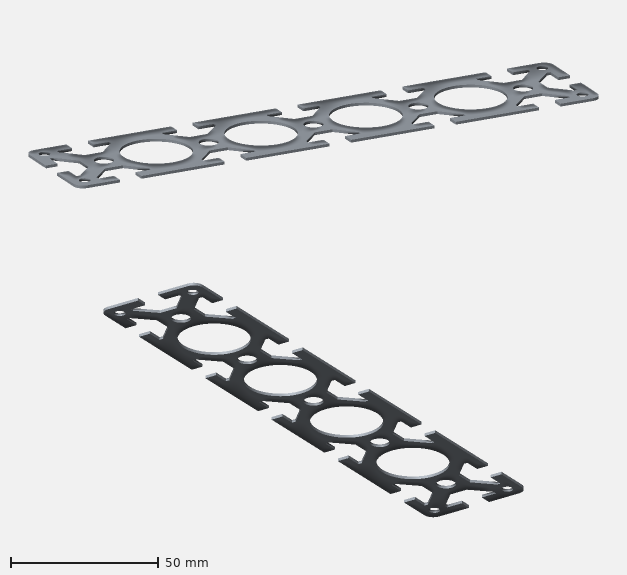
import cadquery as cq

cell = 40.0
cell_count = 5
width = cell
length = cell * cell_count
thickness = 1.0
corner_radius = 3.5

mouth_width = 8.2
lip_thickness = 4.5
chamber_width = 20.0
chamber_wall_depth = 1.5
slot_depth = 12.5
taper_depth = slot_depth - lip_thickness - chamber_wall_depth
floor_width = chamber_width - 2 * taper_depth

core_hole_diameter = 6.8
window_diameter = 25.0
corner_hole_diameter = 4.0
corner_hole_inset = 5.0


def centered_row(count):
    """Points spaced one cell apart along Y, centred on the origin."""
    return [(0, (i - (count - 1) / 2) * cell) for i in range(count)]


def t_slot(edge_distance, angle, along=0):
    """Slot cutter opening on the +X edge, shifted along Y, then turned about Z."""
    mouth = mouth_width / 2
    chamber = chamber_width / 2
    floor = floor_width / 2
    lip_x = edge_distance - lip_thickness
    wall_x = lip_x - chamber_wall_depth
    floor_x = edge_distance - slot_depth
    half_outline = [
        (edge_distance, mouth),
        (lip_x, mouth),
        (lip_x, chamber),
        (wall_x, chamber),
        (floor_x, floor),
    ]
    mirrored_half = [(x, -y) for x, y in reversed(half_outline)]
    return (
        cq.Workplane("XY")
        .polyline(half_outline + mirrored_half)
        .close()
        .extrude(thickness)
        .translate((0, along, 0))
        .rotate((0, 0, 0), (0, 0, 1), angle)
    )


def cut_holes(body, points, diameter):
    cutter = cq.Workplane("XY").pushPoints(points).circle(diameter / 2).extrude(thickness)
    return body.cut(cutter)


result = (
    cq.Workplane("XY")
    .rect(width, length)
    .extrude(thickness)
    .edges("|Z")
    .fillet(corner_radius)
)

for _, cell_y in centered_row(cell_count):
    for angle in (0, 180):
        result = result.cut(t_slot(width / 2, angle, cell_y))

for angle in (90, 270):
    result = result.cut(t_slot(length / 2, angle))

result = cut_holes(result, centered_row(cell_count), core_hole_diameter)
result = cut_holes(result, centered_row(cell_count - 1), window_diameter)

corner_x = width / 2 - corner_hole_inset
corner_y = length / 2 - corner_hole_inset
corners = [(x, y) for x in (-corner_x, corner_x) for y in (-corner_y, corner_y)]
result = cut_holes(result, corners, corner_hole_diameter)